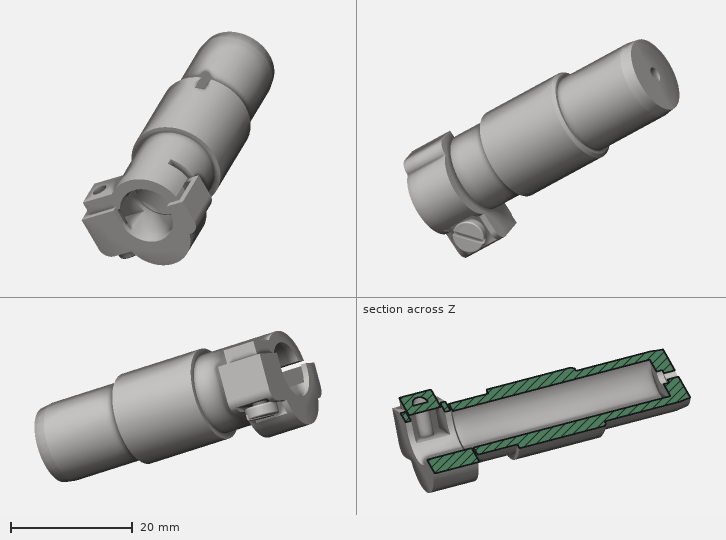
import cadquery as cq

TILT = 30.0
OVERSIZE = 20.0

BARREL_FRONT = 1.1
BARREL_BACK = 45.9
FRONT_RADIUS = 13.5 / 2
REAR_RADIUS = 13.4 / 2
TIP_TAPER_LENGTH = 2.0
TIP_TAPER_DEPTH = 0.3
COLLAR_RADIUS = 15.5 / 2
COLLAR_FRONT = 15.2
COLLAR_BACK = 30.7
COLLAR_CHAMFER = 0.5
BORE_RADIUS = 9.6 / 2
END_WALL = 3.0
COUNTERBORE_RADIUS = 3.8 / 2
COUNTERBORE_DEPTH = 1.0
THROUGH_HOLE_RADIUS = 2.6 / 2

RIB_BACK = 30.1
RIB_LENGTH = 3.0
RIB_HALF_WIDTH = 0.87
RIB_BASE = 7.7
RIB_TIP = 9.09

SHELL_EDGE = 1.47
SLOT_FRONT = 6.8
SLOT_BACK = 8.2
BRIDGE_HALF_WIDTH = 4.6
BRIDGE_BOTTOM = 3.3

LUG_END = -10.03
LUG_TOP = 5.25
LUG_THICKNESS = 3.0
LUG_BOTTOM = LUG_TOP - LUG_THICKNESS

CLAMP_LENGTH = 7.95
CLAMP_LEFT = -11.24
CLAMP_RIGHT = 7.97
CLAMP_BOTTOM = -5.25
CLAMP_TOP_LEFT = 2.8
CLAMP_TOP_RIGHT = 0.8
CLAMP_CORNER_RADIUS = 2.0
LOBE_CENTRE_UP = -3.5
LOBE_RADIUS = 6.1
CLAMP_BORE_RADIUS = 4.8
PLATE = 1.0
LUG_CLEARANCE = 0.1
POCKET_LEFT = LUG_END - LUG_CLEARANCE
POCKET_RIGHT = 6.9
POCKET_FLOOR = -2.2

SCREW_ACROSS = -7.8
SCREW_Y = (BARREL_FRONT + SLOT_FRONT) / 2
SHANK_RADIUS = 2.5 / 2
SHANK_SETBACK = 2.0
SHANK_TOP = LUG_TOP - SHANK_SETBACK
HEAD_RADIUS = 5.5 / 2
HEAD_TOP = -5.05
HEAD_BOTTOM = -6.97
HEAD_TOP_FILLET = 0.36
HEAD_BOTTOM_FILLET = 0.25
DRIVE_WIDTH = 0.8
DRIVE_DEPTH = 1.0
DRIVE_ANGLE = -45.0
RECESS_FLOOR = -4.5
HEAD_CLEARANCE = 0.25
RECESS_RIGHT = SCREW_ACROSS + HEAD_RADIUS + HEAD_CLEARANCE


def block(left, right, front, back, bottom, top):
    """Axis-aligned block between the given limits."""
    size = (right - left, back - front, top - bottom)
    return cq.Workplane("XY").box(*size, centered=False).translate((left, front, bottom))


def rod(radius, front, back, up=0.0):
    """Cylinder parallel to Y."""
    return cq.Workplane("XZ", origin=(0, front, 0)).center(0, up).circle(radius).extrude(front - back)


def tilted(shape):
    """Turn an upright shape into its final position about the barrel axis."""
    return shape.rotate((0, 0, 0), (0, 1, 0), -TILT)


def make_barrel():
    front = rod(FRONT_RADIUS, BARREL_FRONT, COLLAR_BACK)
    rear = rod(REAR_RADIUS, COLLAR_FRONT, BARREL_BACK)
    rear = rear.faces(">Y").chamfer(TIP_TAPER_LENGTH, TIP_TAPER_DEPTH)
    collar = rod(COLLAR_RADIUS, COLLAR_FRONT, COLLAR_BACK).faces(">Y").chamfer(COLLAR_CHAMFER)
    return front.union(rear).union(collar)


def make_rib():
    root = COLLAR_RADIUS - COLLAR_CHAMFER
    outline = [
        (-RIB_HALF_WIDTH, root),
        (-RIB_HALF_WIDTH, RIB_BASE),
        (0, RIB_TIP),
        (RIB_HALF_WIDTH, RIB_BASE),
        (RIB_HALF_WIDTH, root),
    ]
    return cq.Workplane("XZ", origin=(0, RIB_BACK, 0)).polyline(outline).close().extrude(RIB_LENGTH)


def make_bore():
    bore_end = BARREL_BACK - END_WALL
    bore = rod(BORE_RADIUS, 0, bore_end)
    bore = bore.union(rod(COUNTERBORE_RADIUS, 0, bore_end + COUNTERBORE_DEPTH))
    return bore.union(rod(THROUGH_HOLE_RADIUS, 0, BARREL_BACK))


def make_lug():
    return block(LUG_END, 0, BARREL_FRONT, SLOT_FRONT, LUG_BOTTOM, LUG_TOP)


def make_barrel_cutaway():
    """Space for the clamp: a half-shell cut, then a slot that leaves a narrow bridge."""
    right_side = block(-OVERSIZE, OVERSIZE, BARREL_FRONT, SLOT_BACK, -OVERSIZE, SHELL_EDGE)
    left_side = block(-OVERSIZE, 0, BARREL_FRONT, SLOT_BACK, -OVERSIZE, LUG_BOTTOM)
    slot = block(-OVERSIZE, OVERSIZE, SLOT_FRONT, SLOT_BACK, -OVERSIZE, OVERSIZE)
    bridge = block(
        -BRIDGE_HALF_WIDTH, BRIDGE_HALF_WIDTH, SLOT_FRONT, SLOT_BACK, BRIDGE_BOTTOM, OVERSIZE
    )
    return right_side.union(left_side).union(slot.cut(bridge))


def make_clamp():
    body = block(CLAMP_LEFT, CLAMP_RIGHT, 0, CLAMP_LENGTH, CLAMP_BOTTOM, CLAMP_TOP_LEFT)
    body = body.edges("|Y and <Z").fillet(CLAMP_CORNER_RADIUS)
    body = body.union(rod(LOBE_RADIUS, 0, CLAMP_LENGTH, LOBE_CENTRE_UP))
    body = body.cut(block(0, OVERSIZE, 0, CLAMP_LENGTH, CLAMP_TOP_RIGHT, OVERSIZE))
    throat = block(-CLAMP_BORE_RADIUS, CLAMP_BORE_RADIUS, 0, CLAMP_LENGTH, 0, OVERSIZE)
    body = body.cut(rod(CLAMP_BORE_RADIUS, 0, CLAMP_LENGTH)).cut(throat)
    inner_back = CLAMP_LENGTH - PLATE
    pocket = block(POCKET_LEFT, POCKET_RIGHT, PLATE, inner_back, POCKET_FLOOR, OVERSIZE)
    recess = block(-OVERSIZE, RECESS_RIGHT, PLATE, inner_back, -OVERSIZE, RECESS_FLOOR)
    return body.cut(pocket).cut(recess)


def make_screw():
    shank = cq.Workplane("XY", origin=(0, 0, HEAD_TOP)).circle(SHANK_RADIUS).extrude(SHANK_TOP - HEAD_TOP)
    head = cq.Workplane("XY", origin=(0, 0, HEAD_BOTTOM)).circle(HEAD_RADIUS).extrude(HEAD_TOP - HEAD_BOTTOM)
    head = head.faces(">Z").edges().fillet(HEAD_TOP_FILLET)
    head = head.faces("<Z").edges().fillet(HEAD_BOTTOM_FILLET)
    drive = block(
        -OVERSIZE, OVERSIZE, -DRIVE_WIDTH / 2, DRIVE_WIDTH / 2, HEAD_BOTTOM, HEAD_BOTTOM + DRIVE_DEPTH
    )
    head = head.cut(drive.rotate((0, 0, 0), (0, 0, 1), DRIVE_ANGLE))
    return shank.union(head).translate((SCREW_ACROSS, SCREW_Y, 0))


def make_lug_hole():
    hole = cq.Workplane("XY", origin=(SCREW_ACROSS, SCREW_Y, LUG_BOTTOM))
    return hole.circle(SHANK_RADIUS).extrude(LUG_THICKNESS)


shell = make_barrel().union(make_rib())
shell = shell.cut(tilted(make_barrel_cutaway()))
shell = shell.union(tilted(make_lug().cut(make_lug_hole())))
shell = shell.cut(make_bore())

result = shell.union(tilted(make_clamp())).union(tilted(make_screw()))